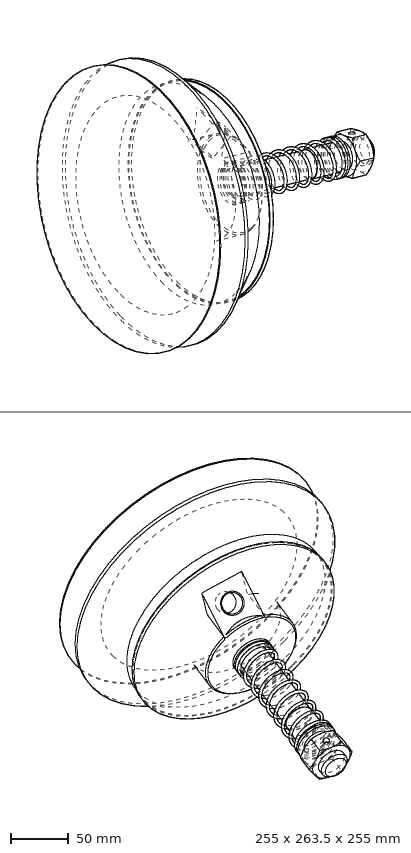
import cadquery as cq
import math


lip_diameter = 255.0
lip_edge_top = 1.2
lip_shoulder_diameter = 249.0
lip_shoulder_y = 2.2
waist_diameter = 194.0
waist_y = 18.8
bellows_bottom = 28.0
bellows_top = 31.4
collar_diameter = 196.0
collar_bottom = 67.1
flange_diameter = 198.0
flange_bottom = 78.1
flange_top = 81.9

boss_diameter = 90.0
boss_top = 113.3
boss_edge_chamfer = 1.5
boss_foot_fillet = 2.0

port_block_width = 40.0
port_block_top_radius = 39.8
port_block_turn = 10.0
port_diameter = 18.63
port_mouth_diameter = 20.955
port_depth = 25.0
port_center_y = 96.5

stem_top = 263.5
stem_diameter = 25.7
stem_chamfer = 2.5
sleeve_diameter = 26.67
sleeve_bottom = 198.0

nut_sides = 6
nut_across_flats = 37.0
nut_bottom = 237.3
nut_height = 18.5
nut_chamfer_angle = 30.0
pin_hole_diameter = 5.5

washer_diameter = 37.5
washer_thickness = 2.5
upper_washer_bottom = 227.5

wire_diameter = 2.8
spring_outer_diameter = 37.5
spring_top = 226.1
closed_coil_bottom = 223.3
active_coils_top = 220.8
active_coils_bottom = 125.8
closed_coil_top = 120.6
spring_bottom = 116.8
top_turns = 1.0
lead_in_turns = 0.25
active_turns = 7.0
lead_out_turns = 0.75
bottom_turns = 1.25
points_per_turn = 12


def cylinder(diameter, bottom, top):
    """Solid cylinder on the Y axis between two heights."""
    base = cq.Workplane("XZ", origin=(0, bottom, 0))
    return base.circle(diameter / 2).extrude(bottom - top)


def revolve_about_axis(profile):
    """Full turn of a closed XY profile about the Y axis."""
    return profile.revolve(360, (0, 0, 0), (0, 1, 0))


def make_cup():
    profile = [
        (0, 0),
        (lip_diameter / 2, 0),
        (lip_diameter / 2, lip_edge_top),
        (lip_shoulder_diameter / 2, lip_shoulder_y),
        (waist_diameter / 2, waist_y),
        (lip_diameter / 2, bellows_bottom),
        (lip_diameter / 2, bellows_top),
        (collar_diameter / 2, collar_bottom),
        (collar_diameter / 2, flange_bottom),
        (flange_diameter / 2, flange_bottom),
        (flange_diameter / 2, flange_top),
        (0, flange_top),
    ]
    return revolve_about_axis(cq.Workplane("XY").polyline(profile).close())


def make_boss():
    boss_radius = boss_diameter / 2
    profile = (
        cq.Workplane("XY")
        .moveTo(0, flange_top)
        .lineTo(boss_radius + boss_foot_fillet, flange_top)
        .radiusArc((boss_radius, flange_top + boss_foot_fillet), boss_foot_fillet)
        .lineTo(boss_radius, boss_top)
        .lineTo(0, boss_top)
        .close()
    )
    boss = revolve_about_axis(profile)
    return boss.faces(">Y").edges().chamfer(boss_edge_chamfer)


def make_port_block():
    foot_radius = port_block_top_radius + boss_top - flange_top
    return (
        cq.Workplane("YZ")
        .moveTo(flange_top, 0)
        .lineTo(flange_top, foot_radius)
        .lineTo(boss_top, port_block_top_radius)
        .lineTo(boss_top, 0)
        .close()
        .extrude(port_block_width / 2, both=True)
    )


def make_port():
    """Blind, countersunk hole bored square to the sloping face of the port block."""
    center_radius = port_block_top_radius + boss_top - port_center_y
    center = cq.Vector(0, port_center_y, center_radius)
    inward = cq.Vector(0, -1, -1)
    bore = cq.Solid.makeCylinder(port_diameter / 2, port_depth, center, inward)
    countersink_depth = (port_mouth_diameter - port_diameter) / 2
    countersink = cq.Solid.makeCone(
        port_mouth_diameter / 2, port_diameter / 2, countersink_depth, center, inward
    )
    return cq.Workplane(bore).union(cq.Workplane(countersink))


def turn_about_axis(body):
    return body.rotate((0, 0, 0), (0, 1, 0), port_block_turn)


def make_stem():
    stem = cylinder(stem_diameter, boss_top, stem_top)
    stem = stem.faces(">Y").chamfer(stem_chamfer)
    return stem.union(cylinder(sleeve_diameter, sleeve_bottom, upper_washer_bottom))


def make_nut():
    across_corners = nut_across_flats / math.cos(math.pi / nut_sides)
    nut_top = nut_bottom + nut_height
    hexagon = (
        cq.Workplane("XZ", origin=(0, nut_bottom, 0))
        .polygon(nut_sides, across_corners)
        .extrude(-nut_height)
    )
    corner_radius = across_corners / 2
    flat_radius = nut_across_flats / 2
    chamfer_drop = (corner_radius - flat_radius) * math.tan(math.radians(nut_chamfer_angle))
    chamfer_profile = (
        cq.Workplane("XY")
        .moveTo(0, nut_bottom)
        .lineTo(flat_radius, nut_bottom)
        .lineTo(corner_radius, nut_bottom + chamfer_drop)
        .lineTo(corner_radius, nut_top - chamfer_drop)
        .lineTo(flat_radius, nut_top)
        .lineTo(0, nut_top)
        .close()
    )
    pin_hole = (
        cq.Workplane("XY", origin=(0, nut_bottom + nut_height / 2, stem_diameter / 2))
        .circle(pin_hole_diameter / 2)
        .extrude(nut_across_flats)
    )
    return hexagon.intersect(revolve_about_axis(chamfer_profile)).cut(pin_hole)


def spring_height(turn):
    """Height of the wire centre after a number of turns down from the top end."""
    stages = [
        (top_turns, closed_coil_bottom),
        (lead_in_turns, active_coils_top),
        (active_turns, active_coils_bottom),
        (lead_out_turns, closed_coil_top),
        (bottom_turns, spring_bottom),
    ]
    stage_start = spring_top
    for turns, stage_end in stages:
        if turn <= turns:
            return stage_start + (stage_end - stage_start) * turn / turns
        turn -= turns
        stage_start = stage_end
    return spring_bottom


def make_spring():
    coil_radius = (spring_outer_diameter - wire_diameter) / 2
    total_turns = top_turns + lead_in_turns + active_turns + lead_out_turns + bottom_turns
    path_points = []
    for index in range(round(total_turns * points_per_turn) + 1):
        turn = index / points_per_turn
        angle = 2 * math.pi * turn
        path_points.append(
            cq.Vector(-coil_radius * math.sin(angle), spring_height(turn), coil_radius * math.cos(angle))
        )
    path = cq.Edge.makeSpline(path_points)
    start = cq.Plane(origin=path.startPoint(), xDir=(0, 1, 0), normal=path.tangentAt(0))
    wire_section = cq.Workplane(start).circle(wire_diameter / 2)
    return wire_section.sweep(cq.Workplane(cq.Wire.assembleEdges([path])), isFrenet=True)


body = make_cup().union(make_boss())
body = body.union(turn_about_axis(make_port_block()))
body = body.cut(turn_about_axis(make_port()))
body = body.union(make_stem()).union(make_nut())
for washer_bottom in (boss_top, upper_washer_bottom):
    body = body.union(cylinder(washer_diameter, washer_bottom, washer_bottom + washer_thickness))
result = body.union(make_spring())